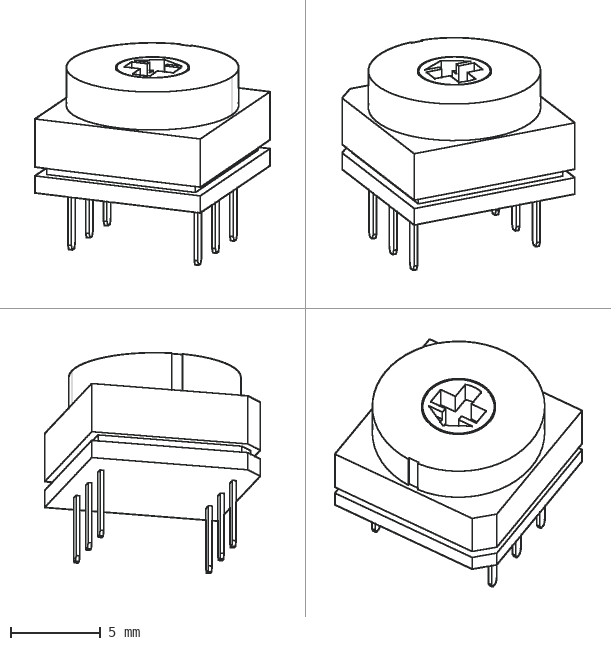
import cadquery as cq

housing_side = 10.0
corner_chamfer = 1.0
neck_inset = 0.5
base_height = 1.0
neck_height = 0.5
block_height = 2.8

total_height = 10.3
dial_diameter = 9.6
dial_height = 2.2
notch_width = 0.64
notch_depth = 0.11

ring_outer_diameter = 4.1
ring_inner_diameter = 4.0
ring_depth = 0.1

cross_depth = 1.3
cross_slot_width = 1.05
cross_length = 2.98
cross_round_radius = 1.66
arrow_depth = 0.6
arrow_tip_y = 1.66
arrow_base_y = 0.84
arrow_width = 2.84

pin_width = 0.56
pin_thickness = 0.22
pin_pitch = 2.54
pin_row_spacing = 3 * pin_pitch
pin_taper_height = 0.3
pin_tip_width = 0.32
pins_per_row = 3

dial_bottom = total_height - dial_height
block_bottom = dial_bottom - block_height
base_top = block_bottom - neck_height
base_bottom = base_top - base_height


def housing_outline(z):
    """Square with its (-X, +Y) corner cut off, at height z."""
    half = housing_side / 2
    return (
        cq.Workplane("XY", origin=(0, 0, z))
        .moveTo(-half, -half)
        .lineTo(half, -half)
        .lineTo(half, half)
        .lineTo(-half + corner_chamfer, half)
        .lineTo(-half, half - corner_chamfer)
        .close()
    )


def housing():
    base = housing_outline(base_bottom).extrude(base_height)
    neck = housing_outline(base_top).offset2D(-neck_inset).extrude(neck_height)
    block = housing_outline(block_bottom).extrude(block_height)
    return base.union(neck).union(block)


def dial():
    radius = dial_diameter / 2
    disc = cq.Workplane("XY", origin=(0, 0, dial_bottom)).circle(radius).extrude(dial_height)
    notch = (
        cq.Workplane("XY", origin=(0, radius, dial_bottom))
        .rect(notch_width, 2 * notch_depth)
        .extrude(dial_height)
    )
    return disc.cut(notch)


def ring_groove():
    return (
        cq.Workplane("XY", origin=(0, 0, total_height))
        .circle(ring_outer_diameter / 2)
        .circle(ring_inner_diameter / 2)
        .extrude(-ring_depth)
    )


def arrow_head(depth):
    return (
        cq.Workplane("XY", origin=(0, 0, total_height))
        .moveTo(-arrow_width / 2, arrow_base_y)
        .lineTo(arrow_width / 2, arrow_base_y)
        .lineTo(0, arrow_tip_y)
        .close()
        .extrude(-depth)
    )


def screwdriver_recess():
    top = cq.Workplane("XY", origin=(0, 0, total_height))
    cross_bar = top.rect(cross_length, cross_slot_width).extrude(-cross_depth)

    slot_length = cross_round_radius + arrow_base_y
    slot = (
        top.center(0, (arrow_base_y - cross_round_radius) / 2)
        .rect(cross_slot_width, slot_length)
        .extrude(-cross_depth)
    )
    round_limit = top.circle(cross_round_radius).extrude(-cross_depth)
    slot = slot.intersect(round_limit)

    tip_strip = top.rect(cross_slot_width, 2 * arrow_tip_y).extrude(-cross_depth)
    deep_tip = arrow_head(cross_depth).intersect(tip_strip)

    return cross_bar.union(slot).union(deep_tip).union(arrow_head(arrow_depth))


def pin(x, y):
    """Flat pin with its foot tapered in width only."""
    half = pin_width / 2
    half_tip = pin_tip_width / 2
    return (
        cq.Workplane("YZ", origin=(x, y, 0))
        .moveTo(-half_tip, 0)
        .lineTo(half_tip, 0)
        .lineTo(half, pin_taper_height)
        .lineTo(half, base_bottom)
        .lineTo(-half, base_bottom)
        .lineTo(-half, pin_taper_height)
        .close()
        .extrude(pin_thickness / 2, both=True)
    )


result = housing().union(dial()).cut(ring_groove()).cut(screwdriver_recess())
for x in (-pin_row_spacing / 2, pin_row_spacing / 2):
    for index in range(pins_per_row):
        y = (index - (pins_per_row - 1) / 2) * pin_pitch
        result = result.union(pin(x, y))